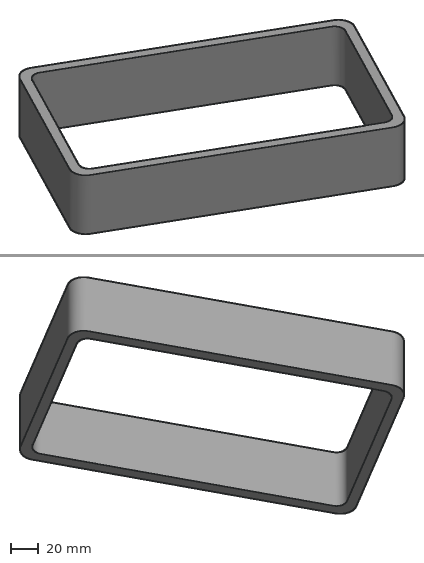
import cadquery as cq

width = 150.0
length = 250.0
height = 50.0

wall = 8.0
outer_radius = 12.0
inner_radius = 8.0


def rounded_block(size_x, size_y, corner_radius):
    """Full-height block with rounded vertical edges, standing on Z = 0."""
    block = cq.Workplane("XY").rect(size_x, size_y).extrude(height)
    return block.edges("|Z").fillet(corner_radius)


outer_block = rounded_block(width, length, outer_radius)
opening = rounded_block(width - 2 * wall, length - 2 * wall, inner_radius)

result = outer_block.cut(opening)